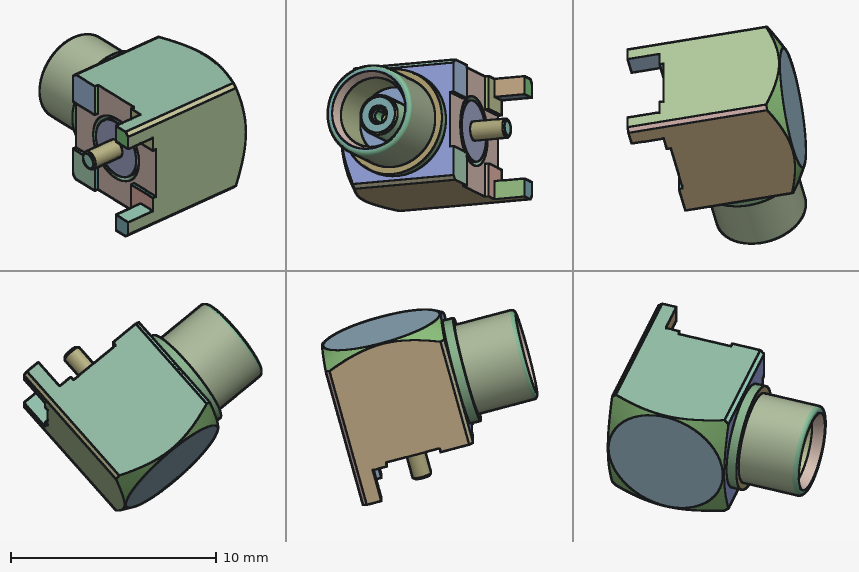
import cadquery as cq
import math

total_length = 9.5
total_depth = 7.6
body_size = 6.0
half_body = body_size / 2
body_corner_chamfer = 0.2

trim_face_radius = 2.945
trim_slope = math.radians(30)

pad_gap = 2.71
pad_height = 0.2
leg_width_x = 0.93
leg_width_z = 0.9
leg_length = total_depth - body_size
window_radius = 1.71
window_disc_radius = 1.5
window_depth = window_radius - window_disc_radius
pin_radius = 0.475
pin_tip_chamfer = 0.09

socket_length = total_length - body_size
flange_radius = 2.6
flange_thickness = 0.5
barrel_radius = 2.25
barrel_rim_fillet = 0.2
bore_mouth_radius = 1.94
bore_radius = 1.72
bore_taper_depth = 0.58
bore_depth = socket_length - flange_thickness

insulator_radius = 0.99
insulator_chamfer = 0.095
insulator_recess = 1.18
contact_radius = 0.46
contact_recess = 1.4
contact_mouth_radius = 0.41
contact_hole_radius = 0.3
contact_hole_depth = 0.95
drill_tip_depth = contact_hole_radius / math.sqrt(3)
slot_width = 0.25

mounting_y = -half_body
recessed_y = mounting_y + pad_height
tip_y = mounting_y - leg_length
rim_x = -half_body - socket_length


def box_between(low, high):
    """Axis-aligned box between two opposite corners."""
    sizes = [b - a for a, b in zip(low, high)]
    return cq.Workplane("XY").box(*sizes, centered=False).translate(low)


def cylinder_x(radius, start_x, length):
    """Cylinder on the X axis, running toward +X from start_x."""
    return cq.Workplane("YZ", origin=(start_x, 0, 0)).circle(radius).extrude(length)


def revolve_x(profile):
    """Turn a profile of (x, radius) points around the X axis."""
    return cq.Workplane("XY").polyline(profile).close().revolve(360, (0, 0), (1, 0))


def revolve_y(profile):
    """Turn a profile of (radius, y) points around the Y axis."""
    return cq.Workplane("XY").polyline(profile).close().revolve(360, (0, 0), (0, 1))


def make_body():
    """Cube with corner pads and two legs, chamfered along its Y edges and trimmed by a cone."""
    body = box_between((-half_body, tip_y, -half_body), (half_body, half_body, half_body))
    body = body.edges("|Y").chamfer(body_corner_chamfer)

    leg_x = half_body - leg_width_x
    leg_z = half_body - leg_width_z
    body = body.cut(box_between((-half_body, tip_y, -half_body), (leg_x, mounting_y, half_body)))
    body = body.cut(box_between((leg_x, tip_y, -leg_z), (half_body, mounting_y, leg_z)))

    half_gap = pad_gap / 2
    body = body.cut(
        box_between((-half_gap, mounting_y, -half_body), (half_gap, recessed_y, half_body))
    )
    body = body.cut(
        box_between((-half_body, mounting_y, -half_gap), (half_body, recessed_y, half_gap))
    )

    outer_radius = body_size
    cone_drop = (outer_radius - trim_face_radius) * math.tan(trim_slope)
    envelope = revolve_y([
        (0, half_body),
        (trim_face_radius, half_body),
        (outer_radius, half_body - cone_drop),
        (outer_radius, tip_y),
        (0, tip_y),
    ])
    return body.intersect(envelope)


def make_window():
    """Ring groove around the pin: sloped outer wall, straight inner wall around a flush disc."""
    return revolve_y([
        (window_disc_radius, recessed_y),
        (window_radius, recessed_y),
        (window_disc_radius, recessed_y + window_depth),
    ])


def make_pin():
    """Solder pin with a chamfered tip, rising from the flush disc."""
    pin = cq.Workplane("XZ", origin=(0, recessed_y, 0)).circle(pin_radius).extrude(recessed_y - tip_y)
    return pin.faces("<Y").chamfer(pin_tip_chamfer)


def make_socket():
    """Flanged barrel with a tapered bore."""
    barrel = cylinder_x(barrel_radius, rim_x, socket_length)
    barrel = barrel.faces("<X").edges().fillet(barrel_rim_fillet)
    flange = cylinder_x(flange_radius, -half_body - flange_thickness, flange_thickness)
    bore = revolve_x([
        (rim_x, 0),
        (rim_x, bore_mouth_radius),
        (rim_x + bore_taper_depth, bore_radius),
        (rim_x + bore_depth, bore_radius),
        (rim_x + bore_depth, 0),
    ])
    return barrel.union(flange).cut(bore)


def make_insulator():
    """Central post holding the recessed, drilled and slotted contact."""
    face_x = rim_x + insulator_recess
    contact_x = rim_x + contact_recess
    post = cylinder_x(insulator_radius, face_x, bore_depth - insulator_recess)
    post = post.faces("<X").chamfer(insulator_chamfer)
    post = post.cut(cylinder_x(contact_radius, face_x, contact_recess - insulator_recess))

    mouth_depth = contact_mouth_radius - contact_hole_radius
    hole_end_x = contact_x + contact_hole_depth
    hole = revolve_x([
        (contact_x, 0),
        (contact_x, contact_mouth_radius),
        (contact_x + mouth_depth, contact_hole_radius),
        (hole_end_x, contact_hole_radius),
        (hole_end_x + drill_tip_depth, 0),
    ])

    slot = box_between(
        (contact_x, -slot_width / 2, -contact_radius),
        (hole_end_x, slot_width / 2, contact_radius),
    ).intersect(cylinder_x(contact_radius, contact_x, contact_hole_depth))
    return post.cut(hole).cut(slot)


body = make_body().cut(make_window()).union(make_pin())
result = body.union(make_socket()).union(make_insulator())